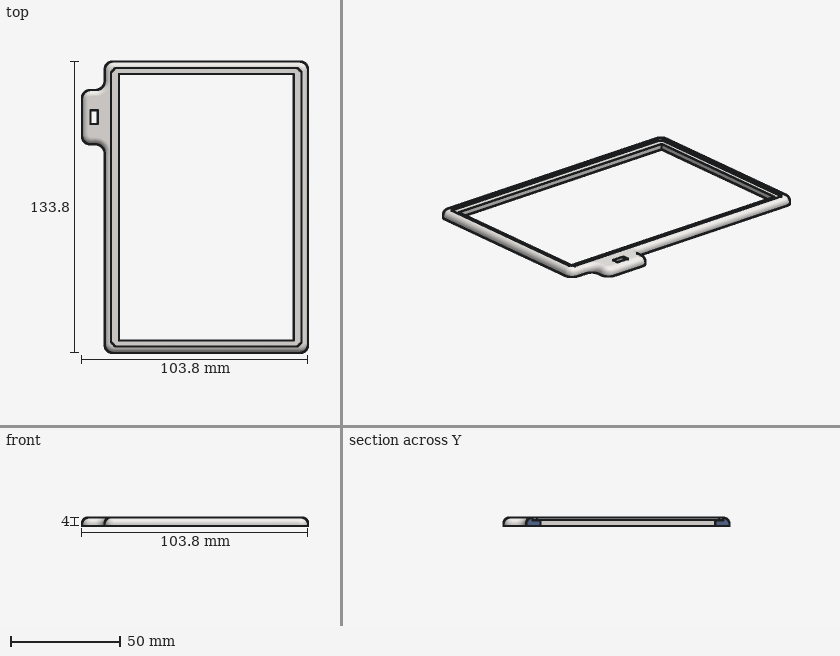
import cadquery as cq

thickness = 4.0
frame_width = 93.4
frame_length = 133.8
corner_radius = 4.0
rim_width = 3.0
edge_radius = rim_width

recess_width = frame_width - 2 * rim_width
recess_length = frame_length - 2 * rim_width
recess_corner_chamfer = 2.0
recess_depth = 1.2

window_width = 80.0
window_length = 122.0

tab_reach = 10.4
tab_length = 25.0
tab_end_offset = 13.1
tab_center_y = frame_length / 2 - tab_end_offset - tab_length / 2
tab_left_x = -frame_width / 2 - tab_reach

slot_width = 3.2
slot_length = 6.2
slot_edge_offset = 4.0
slot_center_x = tab_left_x + slot_edge_offset + slot_width / 2


def block(width, length, height, base_z=0.0):
    """Box centered on the Z axis, standing on base_z."""
    return cq.Workplane("XY").workplane(offset=base_z).rect(width, length).extrude(height)


def make_body():
    """Solid plate with its tab, rounded in plan and along the upper outer edge."""
    overlap = frame_width / 2
    tab = block(tab_reach + overlap, tab_length, thickness)
    tab = tab.translate((tab_left_x + (tab_reach + overlap) / 2, tab_center_y, 0))
    body = block(frame_width, frame_length, thickness).union(tab)
    body = body.edges("|Z").fillet(corner_radius)
    return body.faces(">Z").edges().fillet(edge_radius)


def make_recess():
    """Cutter for the recess: a rectangle with chamfered corners, open at the top."""
    recess = block(recess_width, recess_length, recess_depth, thickness - recess_depth)
    return recess.edges("|Z").chamfer(recess_corner_chamfer)


def make_slot():
    """Cutter for the slot through the tab."""
    return block(slot_width, slot_length, thickness).translate((slot_center_x, tab_center_y, 0))


window = block(window_width, window_length, thickness)
result = make_body().cut(make_recess()).cut(window).cut(make_slot())